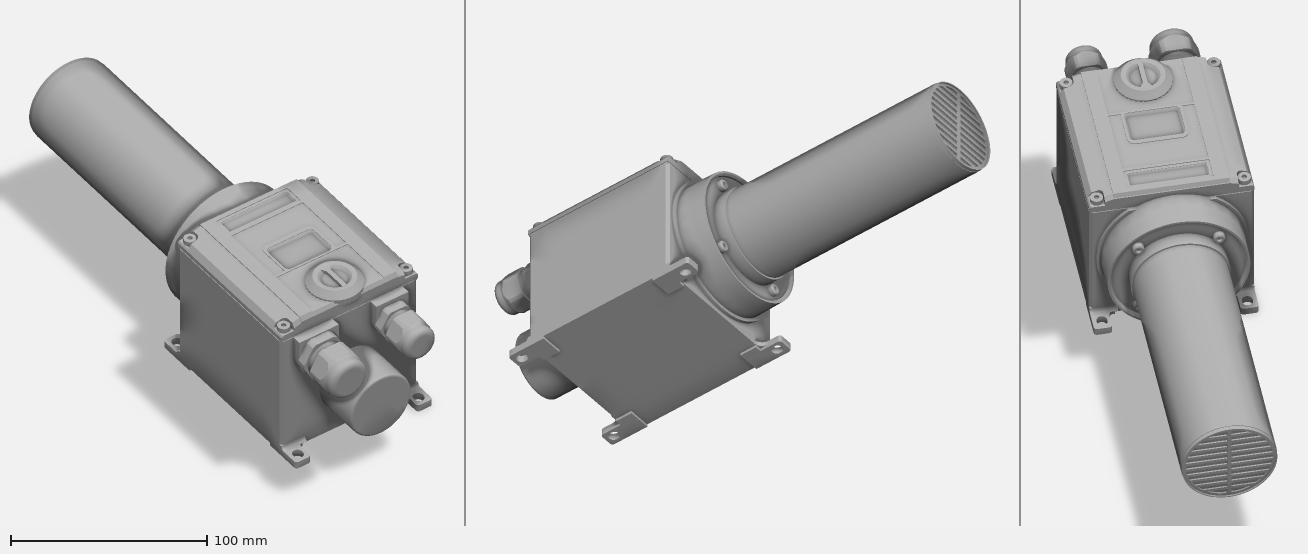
import cadquery as cq
import math

TOTAL_LENGTH = 279.7
TOTAL_HEIGHT = 91.0

BOX_WIDTH = 85.5
BOX_HALF = BOX_WIDTH / 2
BOX_FRONT = 156.0
BOX_LENGTH = 91.0
BOX_BACK = BOX_FRONT + BOX_LENGTH
BOX_MIDDLE = (BOX_FRONT + BOX_BACK) / 2
BOX_BOTTOM = 1.7
BODY_TOP = 76.4
BODY_EDGE_CHAMFER = 1.7
SEAM_HEIGHT = 0.5
SEAM_DEPTH = 0.42

LID_SIDE_TOP = 79.5
LID_SHOULDER = 83.0
LID_SHOULDER_HALF = BOX_HALF - 2.5
LID_TOP = 86.7
LID_TOP_HALF = 30.2
LID_STEP = 0.5
LID_END_RUN = 1.7
LID_END_DROP = 2.5

PANEL_HALF = 22.5
PANEL_DEPTH = 0.42
LABEL_FRONT = 160.5
LABEL_BACK = 172.5
LABEL_MARGIN = 1.7
LABEL_DEPTH = 1.7
LABEL_SLOPE = 1.0
WINDOW_PANEL_FRONT = 174.3
WINDOW_PANEL_BACK = 212.3
KNOB_PANEL_FRONT = 213.7
FRAME_FRONT = 190.5
FRAME_HALF = 16.0
FRAME_ROUND = 4.0
WINDOW_FRONT = 193.0
WINDOW_BACK = 212.5
WINDOW_HALF = 14.5
WINDOW_ROUND = 2.8
WINDOW_DEPTH = 2.0
WINDOW_SLOPE = 1.7

SCREW_INSET_X = 4.2
SCREW_INSET_Y = 4.5
SCREW_POCKET = 8.0
SCREW_POCKET_ROUND = 2.8
SCREW_FLOOR = 80.5
SCREW_HEAD = 6.7
SCREW_HEAD_TOP = 83.4
SCREW_SOCKET = 2.8

FOOT_REACH = 13.0
FOOT_THICKNESS = 4.2
FOOT_WIDTH = 9.5
FOOT_CORNER = 1.7
FOOT_FLARE = 5.0
FOOT_ROOT_ROUND = 2.2
PAD_WIDTH = 13.1
PAD_INSIDE_BOX = 10.0
FOOT_HOLE = 5.5
FOOT_HOLE_LENGTH = 6.5
FOOT_HOLE_FROM_BOX = 7.5
FOOT_HOLE_FROM_SIDE = 5.0

TUBE_HEIGHT = 44.0
TUBE_DIAMETER = 50.0
TUBE_MOUTH = 48.5
TUBE_RIM = 2.2
TUBE_RIM_STEP = 0.3
COLLAR_DIAMETER = 52.0
COLLAR_FRONT = 132.0
RING_FRONT = 137.0
RING_BACK = BOX_FRONT + LID_END_RUN
RING_FRONT_DIAMETER = 74.0
RING_BACK_DIAMETER = 75.2
RING_MOUTH = 72.0
RING_INNER = 70.0
RING_RECESS = 2.2
FLANGE_DIAMETER = 79.2
FLANGE_THICKNESS = 2.0
BOLT_OFFSET = 21.0
BOLT_HEAD = 6.2
BOLT_SOCKET = 2.8
BOLT_PROUD = 0.8
BOLT_SOCKET_DEPTH = 1.7
BOLT_EDGE = 0.5

GRILLE_INSET = 0.8
GRILLE_RADIUS = 22.7
SLOT_PITCH = 4.2
SLOT_HEIGHT = 2.5
SLOT_ROWS_EACH_SIDE = 5
SLOT_DEPTH = 0.8
GRILLE_RIB = 2.2

KNOB_X = 233.8
KNOB_DIAMETER = 30.2
KNOB_TOP_DIAMETER = 23.0
KNOB_BOTTOM = 83.5
KNOB_RIM_TOP = 87.3
KNOB_TOP_INNER = 20.7
KNOB_DISH = 17.5
KNOB_DISH_FLOOR = 13.5
KNOB_EDGE_DROP = 0.3
KNOB_DISH_DEPTH = 2.2
KNOB_NOTCHES = 36
KNOB_NOTCH = 1.0
GRIP_WIDTH = 2.5
GRIP_HEAD_WIDTH = 6.7
GRIP_HEAD_LENGTH = 3.4

INLET_DIAMETER = 37.8
INLET_HEIGHT = 32.0
INLET_END = 274.7
INLET_ROUND = 1.5

GLAND_OFFSET = 23.0
GLAND_HEIGHT = 63.5
BOSS_END = 252.3
NECK_FRONT = 257.5
NOSE_ROUND = 0.6


def slab(x0, x1, y0, y1, z0, z1):
    return cq.Workplane("XY").box(x1 - x0, y1 - y0, z1 - z0, centered=False).translate((x0, y0, z0))


def rod(x0, x1, diameter, y, z):
    return cq.Workplane("YZ", origin=(x0, y, z)).circle(diameter / 2).extrude(x1 - x0)


def disc(x, y, z0, z1, diameter):
    return cq.Workplane("XY", origin=(x, y, z0)).circle(diameter / 2).extrude(z1 - z0)


def both_sides(shape):
    """The shape together with its mirror image across the middle plane."""
    return shape.union(shape.mirror("XZ"))


def four_corners(shape):
    """The shape repeated at all four corners of the box."""
    front = both_sides(shape)
    return front.union(front.mirror("YZ", (BOX_MIDDLE, 0, 0)))


def make_body():
    body = slab(BOX_FRONT, BOX_BACK, -BOX_HALF, BOX_HALF, BOX_BOTTOM, BODY_TOP)
    body = body.edges("|Z").chamfer(BODY_EDGE_CHAMFER)
    seam = slab(BOX_FRONT + SEAM_DEPTH, BOX_BACK - SEAM_DEPTH, SEAM_DEPTH - BOX_HALF, BOX_HALF - SEAM_DEPTH,
                BODY_TOP - SEAM_HEIGHT, BODY_TOP + SEAM_HEIGHT)
    return body.union(seam)


def make_lid():
    """Roof-shaped cover with sloping end edges and a slightly raised middle plate."""
    roof_height = LID_TOP - LID_STEP
    half_outline = [
        (BOX_HALF, BODY_TOP + SEAM_HEIGHT),
        (BOX_HALF, LID_SIDE_TOP),
        (LID_SHOULDER_HALF, LID_SHOULDER),
        (LID_TOP_HALF, roof_height),
    ]
    outline = half_outline + [(-y, z) for y, z in reversed(half_outline)]
    roof = cq.Workplane("YZ", origin=(BOX_FRONT, 0, 0)).polyline(outline).close().extrude(BOX_LENGTH)
    above_shoulder = cq.selectors.BoxSelector((0, -LID_SHOULDER_HALF, LID_SHOULDER + LID_STEP),
                                              (TOTAL_LENGTH, LID_SHOULDER_HALF, LID_TOP))
    for end in ("<X", ">X"):
        roof = roof.faces(end).edges(above_shoulder).chamfer(LID_END_DROP, LID_END_RUN)
    plate_side = [
        (BOX_FRONT, LID_SHOULDER),
        (BOX_FRONT, LID_TOP - LID_END_DROP),
        (BOX_FRONT + LID_END_RUN, LID_TOP),
        (BOX_BACK - LID_END_RUN, LID_TOP),
        (BOX_BACK, LID_TOP - LID_END_DROP),
        (BOX_BACK, LID_SHOULDER),
    ]
    plate = cq.Workplane("XZ").polyline(plate_side).close().extrude(LID_TOP_HALF, both=True)
    return roof.union(plate)


def lid_recesses():
    floor = LID_TOP - PANEL_DEPTH
    label = slab(LABEL_FRONT, LABEL_BACK, -PANEL_HALF, PANEL_HALF, floor, LID_TOP)
    label_pocket = slab(LABEL_FRONT + LABEL_MARGIN, LABEL_BACK - LABEL_MARGIN,
                        LABEL_MARGIN - PANEL_HALF, PANEL_HALF - LABEL_MARGIN, LID_TOP - LABEL_DEPTH, LID_TOP)
    label_pocket = label_pocket.faces("<Z").chamfer(LABEL_SLOPE)
    knob_panel = slab(KNOB_PANEL_FRONT, BOX_BACK, -PANEL_HALF, PANEL_HALF, floor, LID_TOP)
    frame = slab(FRAME_FRONT, KNOB_PANEL_FRONT, -FRAME_HALF, FRAME_HALF, floor, LID_TOP)
    frame = frame.edges("|Z and <X").fillet(FRAME_ROUND)
    window_panel = slab(WINDOW_PANEL_FRONT, WINDOW_PANEL_BACK, -PANEL_HALF, PANEL_HALF, floor, LID_TOP)
    window_panel = window_panel.cut(frame)
    window = slab(WINDOW_FRONT, WINDOW_BACK, -WINDOW_HALF, WINDOW_HALF, LID_TOP - WINDOW_DEPTH, LID_TOP)
    window = window.edges("|Z").fillet(WINDOW_ROUND).faces("<Z").chamfer(WINDOW_SLOPE)
    return [label, label_pocket, window_panel, window, knob_panel]


def make_screws():
    """Corner pockets to cut from the lid, and the socket screws that sit in them."""
    x = BOX_FRONT + SCREW_INSET_X
    y = BOX_HALF - SCREW_INSET_Y
    pocket = slab(BOX_FRONT, BOX_FRONT + SCREW_POCKET, BOX_HALF - SCREW_POCKET, BOX_HALF,
                  SCREW_FLOOR, LID_TOP)
    pocket = pocket.edges("|Z and >X and <Y").fillet(SCREW_POCKET_ROUND)
    screw = disc(x, y, SCREW_FLOOR, SCREW_HEAD_TOP, SCREW_HEAD)
    screw = screw.cut(disc(x, y, (SCREW_FLOOR + SCREW_HEAD_TOP) / 2, SCREW_HEAD_TOP, SCREW_SOCKET))
    return four_corners(pocket), four_corners(screw)


def make_feet():
    tip = BOX_FRONT - FOOT_REACH
    inner = BOX_HALF - FOOT_WIDTH
    tab = slab(tip, BOX_FRONT + BODY_EDGE_CHAMFER, inner, BOX_HALF, 0, FOOT_THICKNESS)
    tab = tab.edges("|Z and <X").fillet(FOOT_CORNER)
    pad = slab(BOX_FRONT, BOX_FRONT + PAD_INSIDE_BOX, BOX_HALF - PAD_WIDTH, BOX_HALF, 0, FOOT_THICKNESS)
    flare = (cq.Workplane("XY", origin=(0, 0, BOX_BOTTOM)).moveTo(BOX_FRONT, inner)
             .lineTo(BOX_FRONT - FOOT_FLARE, inner)
             .radiusArc((BOX_FRONT, inner - FOOT_FLARE), FOOT_FLARE)
             .close().extrude(FOOT_THICKNESS - BOX_BOTTOM))
    root = (cq.Workplane("XZ", origin=(0, BOX_HALF, 0))
            .moveTo(BOX_FRONT + BODY_EDGE_CHAMFER, FOOT_THICKNESS)
            .lineTo(BOX_FRONT - FOOT_ROOT_ROUND, FOOT_THICKNESS)
            .radiusArc((BOX_FRONT, FOOT_THICKNESS + FOOT_ROOT_ROUND), -FOOT_ROOT_ROUND)
            .lineTo(BOX_FRONT + BODY_EDGE_CHAMFER, FOOT_THICKNESS + FOOT_ROOT_ROUND)
            .close().extrude(FOOT_WIDTH + FOOT_FLARE))
    hole = cq.Workplane("XY", origin=(BOX_FRONT - FOOT_HOLE_FROM_BOX, BOX_HALF - FOOT_HOLE_FROM_SIDE, 0))
    hole = hole.slot2D(FOOT_HOLE_LENGTH, FOOT_HOLE).extrude(FOOT_THICKNESS)
    foot = tab.union(pad).union(flare).union(root).cut(hole)
    return four_corners(foot)


def tube_rod(x0, x1, diameter):
    return rod(x0, x1, diameter, 0, TUBE_HEIGHT)


def make_tube():
    rim = tube_rod(0, TUBE_RIM, TUBE_DIAMETER - 2 * TUBE_RIM_STEP)
    tube = rim.union(tube_rod(TUBE_RIM, BOX_FRONT, TUBE_DIAMETER))
    tube = tube.cut(tube_rod(0, GRILLE_INSET, TUBE_MOUTH))
    slot_floor = GRILLE_INSET + SLOT_DEPTH
    slots = cq.Workplane("XY")
    for row in range(-SLOT_ROWS_EACH_SIDE, SLOT_ROWS_EACH_SIDE + 1):
        z = TUBE_HEIGHT + row * SLOT_PITCH
        slots = slots.add(slab(GRILLE_INSET, slot_floor, GRILLE_RIB / 2, GRILLE_RADIUS,
                               z - SLOT_HEIGHT / 2, z + SLOT_HEIGHT / 2))
    slots = slots.combine().intersect(tube_rod(0, slot_floor, 2 * GRILLE_RADIUS))
    return tube.cut(both_sides(slots))


def make_ring():
    floor = RING_FRONT + RING_RECESS
    lip = (RING_MOUTH - RING_INNER) / 2
    profile = [
        (floor, 0),
        (floor, RING_INNER / 2),
        (RING_FRONT + lip, RING_INNER / 2),
        (RING_FRONT, RING_MOUTH / 2),
        (RING_FRONT, RING_FRONT_DIAMETER / 2),
        (RING_BACK, RING_BACK_DIAMETER / 2),
        (RING_BACK, 0),
    ]
    ring = cq.Workplane("XY").polyline(profile).close().revolve(360, (0, 0, 0), (1, 0, 0))
    ring = ring.translate((0, 0, TUBE_HEIGHT))
    collar = tube_rod(COLLAR_FRONT, BOX_FRONT, COLLAR_DIAMETER)
    flange = tube_rod(BOX_FRONT - FLANGE_THICKNESS, BOX_FRONT, FLANGE_DIAMETER)
    flange = flange.intersect(slab(0, BOX_FRONT, -BOX_HALF, BOX_HALF, 0, BODY_TOP))
    ring = ring.union(collar).union(flange)
    head_front = RING_FRONT - BOLT_PROUD
    for y in (-BOLT_OFFSET, BOLT_OFFSET):
        for dz in (-BOLT_OFFSET, BOLT_OFFSET):
            bolt = rod(head_front, floor, BOLT_HEAD, y, TUBE_HEIGHT + dz)
            bolt = bolt.faces("<X").chamfer(BOLT_EDGE)
            socket = rod(head_front, head_front + BOLT_SOCKET_DEPTH, BOLT_SOCKET, y, TUBE_HEIGHT + dz)
            ring = ring.union(bolt).cut(socket)
    return ring


def make_knob():
    skirt_radius = KNOB_DIAMETER / 2
    top_radius = KNOB_TOP_DIAMETER / 2
    dish_rim = TOTAL_HEIGHT - KNOB_EDGE_DROP
    dish_floor = TOTAL_HEIGHT - KNOB_DISH_DEPTH
    profile = [
        (0, KNOB_BOTTOM),
        (skirt_radius, KNOB_BOTTOM),
        (skirt_radius, KNOB_RIM_TOP),
        (top_radius, TOTAL_HEIGHT),
        (KNOB_TOP_INNER / 2, TOTAL_HEIGHT),
        (KNOB_DISH / 2, dish_rim),
        (KNOB_DISH_FLOOR / 2, dish_floor),
        (0, dish_floor),
    ]
    knob = cq.Workplane("XZ").polyline(profile).close().revolve(360, (0, 0, 0), (0, 1, 0))
    notches = (cq.Workplane("XY", origin=(0, 0, KNOB_BOTTOM))
               .polarArray(skirt_radius, 0, 360, KNOB_NOTCHES)
               .circle(KNOB_NOTCH / 2).extrude(KNOB_RIM_TOP - KNOB_BOTTOM))
    knob = knob.cut(notches)
    reach = KNOB_DISH / 2
    half_grip = [
        (-reach, GRIP_HEAD_WIDTH / 2),
        (-reach + GRIP_HEAD_LENGTH, GRIP_WIDTH / 2),
        (reach, GRIP_WIDTH / 2),
    ]
    grip_outline = half_grip + [(x, -y) for x, y in reversed(half_grip)]
    grip = cq.Workplane("XY", origin=(0, 0, dish_floor)).polyline(grip_outline).close()
    grip = grip.extrude(dish_rim - dish_floor)
    return knob.union(grip).translate((KNOB_X, 0, 0))


def make_inlet():
    inlet = rod(BOX_BACK, INLET_END, INLET_DIAMETER, 0, INLET_HEIGHT)
    return inlet.faces(">X").edges().fillet(INLET_ROUND)


def make_gland(y, boss_radius, flats, corners, neck, nut_front, nut_back, nose, end):
    """Boss, hexagonal lock nut, neck, hexagonal cap nut and rounded nose, in order along X."""
    def hex_nut(x0, x1):
        nut = cq.Workplane("YZ", origin=(x0, y, GLAND_HEIGHT)).polygon(6, flats / math.cos(math.pi / 6))
        return nut.extrude(x1 - x0).intersect(rod(x0, x1, corners, y, GLAND_HEIGHT))

    boss = rod(BOX_BACK, BOSS_END, 2 * boss_radius, y, GLAND_HEIGHT)
    boss = boss.union(slab(BOX_BACK, BOSS_END, y - boss_radius, y + boss_radius, GLAND_HEIGHT, BODY_TOP))
    lock_nut = hex_nut(BOSS_END, NECK_FRONT)
    stem = rod(NECK_FRONT, nut_front, neck, y, GLAND_HEIGHT)
    chamfer = corners - nose
    cone = rod(nut_front, nut_back, corners, y, GLAND_HEIGHT).faces(">X").chamfer(chamfer, chamfer / 2)
    cap_nut = hex_nut(nut_front, nut_back).intersect(cone)
    tip = rod(nut_back, end, nose, y, GLAND_HEIGHT).faces(">X").edges().fillet(NOSE_ROUND * (end - nut_back))
    return boss.union(lock_nut).union(stem).union(cap_nut).union(tip)


lid = make_lid()
screw_pockets, screws = make_screws()
lid = lid.cut(screw_pockets)
for recess in lid_recesses():
    lid = lid.cut(recess)

large_gland = make_gland(y=-GLAND_OFFSET, boss_radius=12.3, flats=23.8, corners=26.0, neck=20.7,
                         nut_front=262.4, nut_back=274.0, nose=23.0, end=TOTAL_LENGTH)
small_gland = make_gland(y=GLAND_OFFSET, boss_radius=10.0, flats=19.9, corners=21.8, neck=17.5,
                         nut_front=261.5, nut_back=273.0, nose=19.0, end=278.3)

result = make_body()
for piece in (lid, screws, make_feet(), make_ring(), make_tube(), make_knob(), make_inlet(),
              large_gland, small_gland):
    result = result.union(piece)